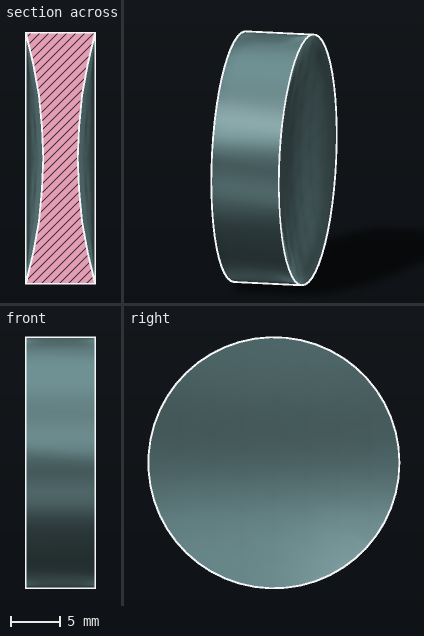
import cadquery as cq
import math

diameter = 25.4
edge_thickness = 7.03
curvature_radius = 46.6

rim_radius = diameter / 2
center_to_rim_plane = math.sqrt(curvature_radius**2 - rim_radius**2)


def lens_blank():
    """Plain disc with its end faces at X = 0 and X = edge_thickness."""
    return cq.Workplane("YZ").circle(rim_radius).extrude(edge_thickness)


def hollow_sphere(center_x):
    """Sphere centred on the lens axis, with its poles along Y, clear of the optical faces."""
    pole_axis = (0, 1, 0)
    sphere = cq.Workplane("XY").sphere(curvature_radius, direct=pole_axis)
    return sphere.translate((center_x, 0, 0))


result = lens_blank()
for sphere_center_x in (-center_to_rim_plane, edge_thickness + center_to_rim_plane):
    result = result.cut(hollow_sphere(sphere_center_x))